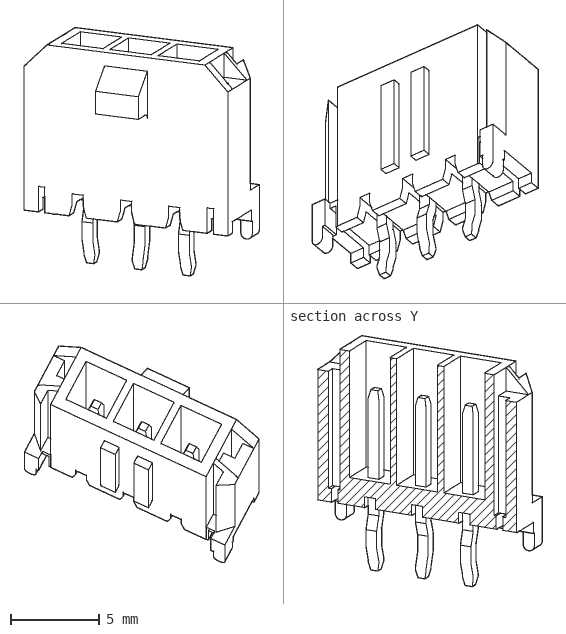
import cadquery as cq


overall_width = 12.65
body_width = 9.81
body_depth = 3.87
body_top = 9.9
wall = 0.65
underside_z = 0.68
half_width = overall_width / 2
half_body = body_width / 2

pitch = 3.0
contact_columns = (-1, 0, 1)
cavity_side = 2.56
cavity_floor_z = 2.35
row_y = 1.92

wing_depth = 3.85
shelf_z = body_top - (half_width - half_body)
shelf_back_y = 2.63
back_chamfer = 0.78
back_step_z = 1.88
recess_front_y = 2.95
slot_inner_x = 5.04
slot_outer_x = 5.43
slot_top_z = 1.5
window_outer_x = 5.62
window_back_y = 1.66

foot_back_y = 4.34
foot_front_y = 3.26
peg_width = 0.72
peg_front_y = 3.35
peg_length = 1.11

latch_width = 2.65
latch_reach = 1.22
latch_top_z = 9.1
latch_nose_z = 7.93
latch_bottom_z = 6.59
latch_fillet = 0.26

rib_width = 0.93
rib_offset = 1.05
rib_back_y = 4.35
rib_bottom_z = 2.2
rib_top_z = 8.16

pin_width = 0.68
pin_depth = 0.64
pin_top_z = 7.59
pin_bottom_z = -3.18
pin_taper = 0.5
pin_tip_width = 0.45
kink_offset = 0.27
kink_levels = (0.17, -0.67, -1.7, -2.55)
notch_top_z = 1.32
notch_mouth_width = 1.07


def block(x0, x1, y0, y1, z0, z1):
    """Box between two corners."""
    return cq.Workplane("XY").box(x1 - x0, y1 - y0, z1 - z0, centered=False).translate((x0, y0, z0))


def both_ends(shape):
    """A shape at the +X end joined with its mirror image at the -X end."""
    return shape.union(shape.mirror("YZ"))


def wing():
    """The +X wing with its foot and round-nosed peg."""
    slope_and_side = (
        cq.Workplane("XZ")
        .polyline([(0, 0), (half_width, 0), (half_width, shelf_z), (half_body, body_top), (0, body_top)])
        .close()
        .extrude(-body_depth)
    )
    skin_x = half_width - back_chamfer
    upper_plan = (
        cq.Workplane("XY")
        .workplane(offset=back_step_z)
        .polyline([
            (0, 0),
            (half_width, 0),
            (half_width, body_depth - back_chamfer),
            (skin_x, body_depth),
            (skin_x, recess_front_y),
            (0, recess_front_y),
        ])
        .close()
        .extrude(body_top - back_step_z)
    )
    lower_plan = block(0, half_width, 0, wing_depth, 0, back_step_z)
    shape = slope_and_side.intersect(upper_plan.union(lower_plan))
    shape = shape.cut(block(half_body, half_width, wall, shelf_back_y, shelf_z, body_top))
    shape = shape.cut(block(half_body, window_outer_x, wall, window_back_y, slot_top_z, shelf_z))

    foot = block(slot_outer_x, half_width, foot_front_y, foot_back_y, 0, back_step_z)
    peg_radius = peg_width / 2
    peg_straight = peg_length - peg_radius
    peg = (
        cq.Workplane("XZ", origin=(half_width - peg_radius, peg_front_y, 0))
        .moveTo(-peg_radius, 0)
        .lineTo(-peg_radius, -peg_straight)
        .threePointArc((0, -peg_length), (peg_radius, -peg_straight))
        .lineTo(peg_radius, 0)
        .close()
        .extrude(peg_front_y - foot_back_y)
    )
    return shape.union(foot).union(peg)


def latch():
    """Ramp with a flat nose and a concave fillet under its root."""
    return (
        cq.Workplane("YZ", origin=(-latch_width / 2, 0, 0))
        .moveTo(0, latch_top_z)
        .lineTo(-latch_reach, latch_nose_z)
        .lineTo(-latch_reach, latch_bottom_z)
        .lineTo(-latch_fillet, latch_bottom_z)
        .radiusArc((0, latch_bottom_z - latch_fillet), latch_fillet)
        .close()
        .extrude(latch_width)
    )


def rib(x):
    """Upright rib on the back face, centred on x."""
    return block(x - rib_width / 2, x + rib_width / 2, body_depth, rib_back_y, rib_bottom_z, rib_top_z)


def notch(x):
    """Notch through the lower walls, as wide as the pin and flared below the underside."""
    half_pin = pin_width / 2
    half_mouth = notch_mouth_width / 2
    return (
        cq.Workplane("XZ", origin=(x, 0, 0))
        .polyline([
            (-half_mouth, 0),
            (-half_pin, underside_z),
            (-half_pin, notch_top_z),
            (half_pin, notch_top_z),
            (half_pin, underside_z),
            (half_mouth, 0),
        ])
        .close()
        .extrude(-body_depth)
    )


def pin_end(x, z, taper):
    """Tapered end of a pin, starting from its full section at z."""
    return (
        cq.Workplane("XY", origin=(x, row_y, z))
        .rect(pin_width, pin_depth)
        .workplane(offset=taper)
        .rect(pin_tip_width, pin_tip_width)
        .loft(ruled=True)
    )


def pin(x, kink):
    """Pin with tapered ends and a leg that steps by kink along Y and back."""
    shaft_top = pin_top_z - pin_taper
    shaft_bottom = pin_bottom_z + pin_taper
    bend_out, out_start, out_end, bend_back = kink_levels
    centre_line = [
        (row_y, shaft_top),
        (row_y, bend_out),
        (row_y + kink, out_start),
        (row_y + kink, out_end),
        (row_y, bend_back),
        (row_y, shaft_bottom),
    ]
    front_edge = [(y - pin_depth / 2, z) for y, z in centre_line]
    back_edge = [(y + pin_depth / 2, z) for y, z in centre_line]
    shaft = (
        cq.Workplane("YZ", origin=(x - pin_width / 2, 0, 0))
        .polyline(front_edge + back_edge[::-1])
        .close()
        .extrude(pin_width)
    )
    top_end = pin_end(x, shaft_top, pin_taper)
    bottom_end = pin_end(x, shaft_bottom, -pin_taper)
    return shaft.union(top_end).union(bottom_end)


housing = block(-half_body, half_body, 0, body_depth, 0, body_top).union(both_ends(wing()))
housing = housing.cut(block(-half_width, half_width, wall, foot_front_y, 0, underside_z))
housing = housing.cut(both_ends(block(slot_inner_x, slot_outer_x, 0, body_depth, 0, slot_top_z)))

housing = housing.union(latch())
for side in (-1, 1):
    housing = housing.union(rib(side * rib_offset))

half_cavity = cavity_side / 2
for column in contact_columns:
    x = column * pitch
    cavity = block(-half_cavity, half_cavity, -half_cavity, half_cavity, cavity_floor_z, body_top)
    housing = housing.cut(cavity.translate((x, row_y, 0)))
    housing = housing.cut(notch(x))

result = housing
for column in contact_columns:
    kink = kink_offset if column == 0 else -kink_offset
    result = result.union(pin(column * pitch, kink))